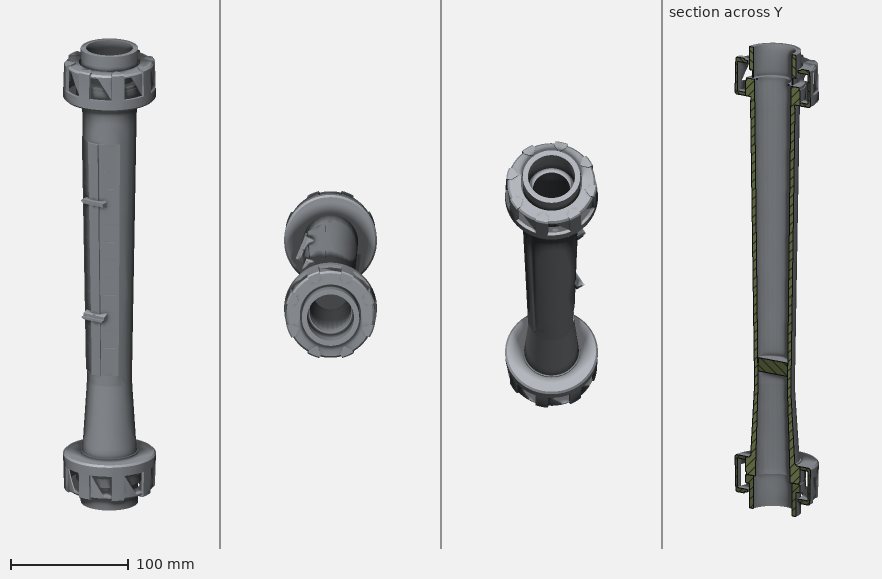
import cadquery as cq
import math

total_height = 408.0
top_nut_face = 363.5
bottom_nut_face = 45.3
tube_end_depth = 16.5
pipe_depth = 23.5

collar_radius = 28.5
collar_depth = 14.0
collar_end_radius = 27.7
tube_top_radius = 23.45
tube_neck_radius = 23.0
tube_neck_length = 3.0
tube_bottom_radius = 23.3
tube_foot_radius = 24.5
tube_foot_height = 1.2
throat_radius = 19.0
throat_z = 109.8
bore_top_radius = 18.8
bore_throat_radius = 15.0
bore_bottom_radius = 18.0
tube_top = top_nut_face + tube_end_depth
tube_bottom = bottom_nut_face - tube_end_depth
tube_foot_top = bottom_nut_face + tube_foot_height
tube_cone_top = top_nut_face - tube_neck_length

scale_top = 328.5
scale_bottom = 119.0
rail_half_width = 4.5
rail_root = 17.0
front_rail_top_reach = 25.0
front_rail_bottom_reach = 20.5
back_rail_top_reach = 26.0
back_rail_bottom_reach = 21.0
panel_top_outer = (19.5, 13.0)
panel_top_inner = (6.5, 23.3)
panel_bottom_outer = (16.7, 11.0)
panel_bottom_inner = (5.0, 19.4)
panel_clearance = 1.3
tick_count = 11
tick_pitch = 16.0
lowest_tick_z = 144.5
tick_length = 9.8
tick_width = 0.6
tick_depth = 0.5

nut_radius = 39.5
nut_edge_chamfer = 1.5
nut_lip_height = 3.3
nut_ring_height = 9.8
nut_height = 33.0
plate_radius = 37.5
plate_bottom = 29.0
plate_top = 32.0
plate_chamfer = 1.5
plate_bore_radius = 26.0
basket_inner_radius = 36.7
rib_count = 8
rib_half_width = 5.5
rib_top_radius = 38.8
rib_top_chamfer = 1.2
pad_tip_radius = 29.0
gusset_reach = 16.7
window_reach = 24.0

pipe_radius = 24.5
pipe_bore_radius = 20.0
flange_radius = 28.5
neck_radius = 21.2
neck_end_depth = 17.0
spigot_radius = 17.0
spigot_bore_radius = 16.0
neck_floor = 0.5

float_height = 12.2
float_bottom_z = 122.5

clip_half_width = 10.5
clip_height = 6.0
clip_plate_height = 2.0
clip_plate_chamfer = 1.2
clip_wing_back_height = 6.0
clip_wing_front_height = 4.5
clip_plate_step = 2.5
clip_depth = 7.8
upper_clip_top = 278.0
upper_clip_reach = 27.7
lower_clip_bottom = 169.7
lower_clip_reach = 26.5


def between(start, end, z):
    """Value at height z of a size that runs evenly from start (scale top) to end (scale bottom)."""
    return start + (end - start) * (scale_top - z) / (scale_top - scale_bottom)


def revolve(points):
    """Solid of revolution about Z of an outline given as (radius, z) points."""
    return cq.Workplane("XZ").polyline(points).close().revolve(360, (0, 0, 0), (0, 1, 0))


def loft_sections(bottom_points, top_points):
    """Solid that runs straight from the outline at the scale bottom to the one at the scale top."""
    return (
        cq.Workplane("XY").workplane(offset=scale_bottom).polyline(bottom_points).close()
        .workplane(offset=scale_top - scale_bottom).polyline(top_points).close()
        .loft(ruled=True)
    )


def panel_outline(outer, inner):
    """Outline of both scale panels, with radial sides that meet on the tube axis."""
    return [
        (-outer[0], -outer[1]),
        (-inner[0], -inner[1]),
        (inner[0], -inner[1]),
        (outer[0], -outer[1]),
        (0, 0),
    ]


def grown(point):
    """Point moved radially out of the tube wall."""
    return tuple(panel_clearance * value for value in point)


def rail_outline(reach):
    """Outline of a rail that starts inside the tube wall; the sign of reach gives its side."""
    root = math.copysign(rail_root, reach)
    return [
        (-rail_half_width, root),
        (rail_half_width, root),
        (rail_half_width, reach),
        (-rail_half_width, reach),
    ]


def make_tick(z, side):
    """Small block across the face of one panel at height z."""
    outer_x, outer_y = (between(panel_top_outer[i], panel_bottom_outer[i], z) for i in range(2))
    inner_x, inner_y = (between(panel_top_inner[i], panel_bottom_inner[i], z) for i in range(2))
    middle = (side * (outer_x + inner_x) / 2, -(outer_y + inner_y) / 2, z)
    slope = math.degrees(math.atan2(inner_y - outer_y, outer_x - inner_x))
    return (
        cq.Workplane("XY")
        .box(tick_length, 2 * tick_depth, tick_width)
        .rotate((0, 0, 0), (0, 0, 1), side * slope)
        .translate(middle)
    )


def make_tube():
    tube = revolve([
        (0, tube_bottom),
        (collar_end_radius, tube_bottom),
        (collar_end_radius, bottom_nut_face - collar_depth),
        (collar_radius, bottom_nut_face - collar_depth),
        (collar_radius, bottom_nut_face),
        (tube_foot_radius, bottom_nut_face),
        (tube_foot_radius, tube_foot_top),
        (tube_bottom_radius, tube_foot_top),
        (throat_radius, throat_z),
        (tube_top_radius, tube_cone_top),
        (tube_neck_radius, tube_cone_top),
        (tube_neck_radius, top_nut_face),
        (collar_radius, top_nut_face),
        (collar_radius, top_nut_face + collar_depth),
        (collar_end_radius, top_nut_face + collar_depth),
        (collar_end_radius, tube_top),
        (0, tube_top),
    ])
    tube = tube.cut(loft_sections(
        panel_outline(grown(panel_bottom_outer), grown(panel_bottom_inner)),
        panel_outline(grown(panel_top_outer), grown(panel_top_inner)),
    ))
    tube = tube.union(loft_sections(
        panel_outline(panel_bottom_outer, panel_bottom_inner),
        panel_outline(panel_top_outer, panel_top_inner),
    ))
    rail_reaches = (
        (-front_rail_bottom_reach, -front_rail_top_reach),
        (back_rail_bottom_reach, back_rail_top_reach),
    )
    for bottom_reach, top_reach in rail_reaches:
        tube = tube.union(loft_sections(rail_outline(bottom_reach), rail_outline(top_reach)))
    tick_heights = [lowest_tick_z + number * tick_pitch for number in range(tick_count)]
    ticks = [make_tick(z, side).val() for z in tick_heights for side in (-1, 1)]
    tube = tube.cut(cq.Workplane(cq.Compound.makeCompound(ticks)))
    bore = revolve([
        (0, tube_bottom),
        (bore_bottom_radius, tube_bottom),
        (bore_throat_radius, throat_z),
        (bore_top_radius, tube_top),
        (0, tube_top),
    ])
    return tube.cut(bore)


def make_rib():
    """Prism that bounds the rib on the +X side, with its pointed inner end."""
    flank_start = pad_tip_radius + rib_half_width
    return (
        cq.Workplane("XY")
        .polyline([
            (pad_tip_radius, 0),
            (flank_start, -rib_half_width),
            (2 * nut_radius, -rib_half_width),
            (2 * nut_radius, rib_half_width),
            (flank_start, rib_half_width),
        ]).close()
        .extrude(nut_height)
    )


def make_window():
    """Cutter for one basket opening; its sloping edge leaves a triangular web beside the rib on +X."""
    return (
        cq.Workplane("YZ")
        .polyline([
            (-rib_half_width, nut_ring_height),
            (-gusset_reach, plate_bottom),
            (-window_reach, plate_bottom),
            (-window_reach, nut_ring_height),
        ]).close()
        .extrude(nut_radius)
    )


def make_nut():
    """Union nut with its open face at z = 0 and its slotted basket above."""
    cup = revolve([
        (collar_radius, 0),
        (nut_radius - nut_edge_chamfer, 0),
        (nut_radius, nut_edge_chamfer),
        (rib_top_radius, nut_height - rib_top_chamfer),
        (rib_top_radius - rib_top_chamfer, nut_height),
        (plate_bore_radius, nut_height),
        (plate_bore_radius, plate_bottom),
        (basket_inner_radius, plate_bottom),
        (basket_inner_radius, nut_lip_height),
        (collar_radius, nut_lip_height),
    ])
    space_between_ribs = revolve([
        (plate_radius, nut_ring_height),
        (2 * nut_radius, nut_ring_height),
        (2 * nut_radius, nut_height),
        (plate_bore_radius, nut_height),
        (plate_bore_radius, plate_top),
        (plate_radius - plate_chamfer, plate_top),
        (plate_radius, plate_top - plate_chamfer),
    ])
    angles = [number * 360 / rib_count for number in range(rib_count)]
    ribs = [make_rib().rotate((0, 0, 0), (0, 0, 1), angle) for angle in angles]
    for rib in ribs:
        space_between_ribs = space_between_ribs.cut(rib)
    nut = cup.cut(space_between_ribs)
    for number, angle in enumerate(angles):
        window = make_window().rotate((0, 0, 0), (0, 0, 1), angle)
        nut = nut.cut(window.cut(ribs[number - 1]))
    return nut


def make_top_connector():
    """Pipe stub with a thin neck and a spigot that meets the top of the tube."""
    pipe_end = top_nut_face + pipe_depth
    neck_end = top_nut_face + neck_end_depth
    return revolve([
        (pipe_bore_radius, total_height),
        (pipe_radius, total_height),
        (pipe_radius, pipe_end),
        (neck_radius, pipe_end),
        (neck_radius, neck_end),
        (spigot_radius, neck_end),
        (spigot_radius, tube_top),
        (spigot_bore_radius, tube_top),
        (spigot_bore_radius, neck_end + neck_floor),
        (pipe_bore_radius, neck_end + neck_floor),
    ])


def make_bottom_connector():
    """Pipe stub with a flange that meets the bottom of the tube."""
    pipe_end = bottom_nut_face - pipe_depth
    return revolve([
        (pipe_bore_radius, 0),
        (pipe_radius, 0),
        (pipe_radius, pipe_end),
        (flange_radius, pipe_end),
        (flange_radius, tube_bottom),
        (pipe_bore_radius, tube_bottom),
    ])


def make_float():
    """Plug whose lower rim rests on the taper of the tube bore."""
    taper = (bore_top_radius - bore_throat_radius) / (tube_top - throat_z)
    radius = bore_throat_radius + taper * (float_bottom_z - throat_z)
    return cq.Workplane("XY").workplane(offset=float_bottom_z).circle(radius).extrude(float_height)


def make_clip(reach):
    """Pointer clip with its plate at z = 0 and its pointer upwards, before it is placed."""
    wing_front = -(reach - clip_plate_step)
    back = -(reach - clip_depth)
    plate = (
        cq.Workplane("XY")
        .box(2 * clip_half_width, clip_depth, clip_plate_height, centered=(True, False, False))
        .edges("|Y").edges("<Z").chamfer(clip_plate_chamfer)
        .translate((0, -reach, 0))
    )
    wings = (
        cq.Workplane("YZ")
        .polyline([
            (back, clip_plate_height),
            (wing_front, clip_plate_height),
            (wing_front, clip_wing_front_height),
            (back, clip_wing_back_height),
        ]).close()
        .extrude(clip_half_width, both=True)
    )
    pointer = (
        cq.Workplane("XZ").workplane(offset=-back)
        .polyline([(-rail_half_width, 0), (rail_half_width, 0), (0, clip_height)]).close()
        .extrude(back - wing_front)
    )
    return plate.union(wings).union(pointer)


tube = make_tube()
nut = make_nut()
top_nut = nut.translate((0, 0, top_nut_face))
bottom_nut = nut.rotate((0, 0, 0), (1, 0, 0), 180).translate((0, 0, bottom_nut_face))
top_connector = make_top_connector()
bottom_connector = make_bottom_connector()
gauge_float = make_float()
lower_clip = make_clip(lower_clip_reach).translate((0, 0, lower_clip_bottom)).cut(tube)
upper_clip = make_clip(upper_clip_reach).mirror("XY").translate((0, 0, upper_clip_top)).cut(tube)
result = cq.Compound.makeCompound([
    tube.val(),
    top_nut.val(),
    bottom_nut.val(),
    top_connector.val(),
    bottom_connector.val(),
    gauge_float.val(),
    upper_clip.val(),
    lower_clip.val(),
])